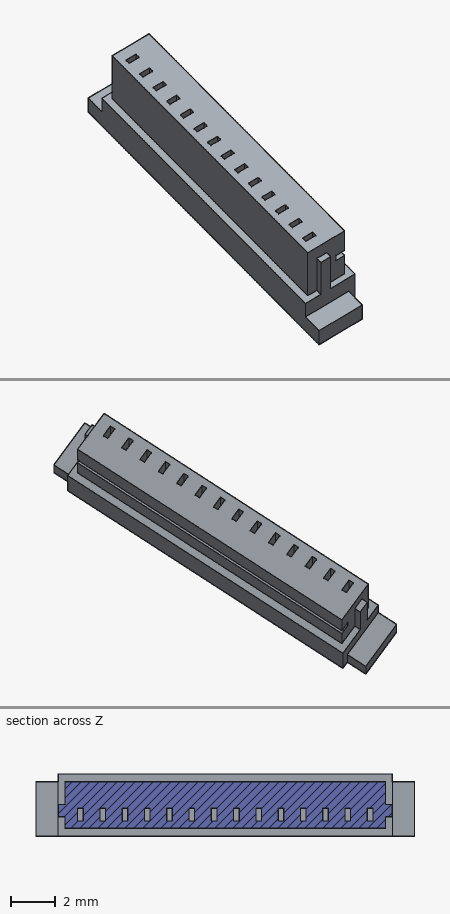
import cadquery as cq

length = 17.0
depth = 2.8
height = 5.0

base_length = 15.0
base_height = 1.95
ear_height = 1.0
ear_setback = 0.35

housing_length = 14.4
housing_inset = 0.35

rib_front_offset = 0.87
rib_width = 0.56
rib_top_gap = 0.78

groove_depth = 0.5
groove_height = 0.35
groove_top_gap = 1.4

slot_count = 14
pitches_in_length = 17
slot_pitch = length / pitches_in_length
slot_length = 0.24
slot_width = 0.56
slot_front_offset = 0.7
slot_depth = height - base_height

front = -depth / 2
rear = depth / 2


def block(size_x, y_min, y_max, z_min, z_max):
    """Box centred on X = 0, spanning the given Y and Z ranges."""
    return (
        cq.Workplane("XY", origin=(0, (y_min + y_max) / 2, z_min))
        .box(size_x, y_max - y_min, z_max - z_min, centered=(True, True, False))
    )


def make_base():
    base = block(base_length, front, rear, 0, base_height)
    ears = block(length, front, rear - ear_setback, 0, ear_height)
    return base.union(ears)


def make_housing():
    housing_rear = rear - housing_inset
    housing = block(housing_length, front + housing_inset, housing_rear, base_height, height)
    groove_top = height - groove_top_gap
    groove = block(
        housing_length,
        housing_rear - groove_depth,
        housing_rear,
        groove_top - groove_height,
        groove_top,
    )
    return housing.cut(groove)


def make_ribs():
    """One bar through the housing whose ends stand out as the two end ribs."""
    rib_front = front + rib_front_offset
    return block(base_length, rib_front, rib_front + rib_width, base_height, height - rib_top_gap)


def make_slots():
    slot_y = front + slot_front_offset + slot_width / 2
    return (
        cq.Workplane("XY", origin=(0, slot_y, height - slot_depth))
        .rarray(slot_pitch, 0.17, slot_count, 1)
        .rect(slot_length, slot_width)
        .extrude(slot_depth)
    )


result = make_base().union(make_housing()).union(make_ribs()).cut(make_slots())